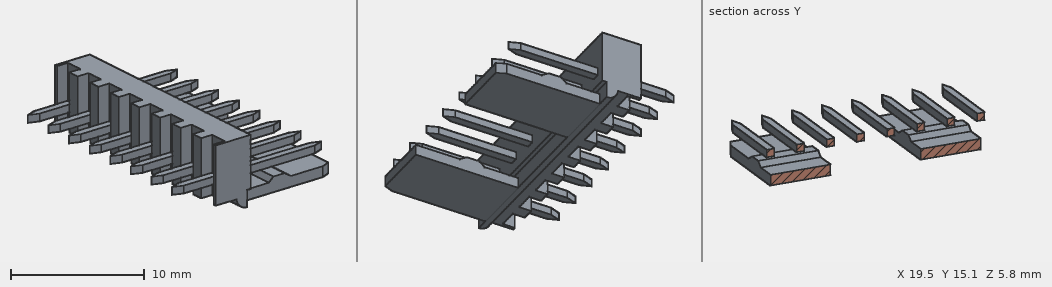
import cadquery as cq
import math

pin_count = 8
pitch = 2.5

housing_length = 19.5
housing_depth = 3.32
housing_top = 5.8
housing_bottom = 0.9
notch_width = 1.5
notch_depth = 1.03

foot_radius = 1.0
step_depth = 0.35
step_height = 1.38

pin_size = 0.65
pin_center_height = 2.63
pin_back_end = -3.37
pin_front_end = 10.82
pin_tip_length = 0.88

latch_end = 11.72
latch_width = 2 * pitch
latch_thickness = housing_bottom
latch_chamfer_width = 0.31
latch_chamfer_length = 0.76
hump_top = 1.29
hump_setback = 3.78
hump_lead_in_length = 0.62
hump_flat_length = 1.05
hump_catch_length = 0.43

hump_lead_in_start = latch_end - hump_setback
hump_lead_in_end = hump_lead_in_start - hump_lead_in_length
hump_catch_start = hump_lead_in_end - hump_flat_length
hump_catch_end = hump_catch_start - hump_catch_length

foot_front = housing_depth - step_depth
outer_pin_x = pitch * (pin_count - 1) / 2
pin_positions = [i * pitch - outer_pin_x for i in range(pin_count)]


def extrude_along_x(profile, length):
    """Extrude a closed YZ profile symmetrically about X = 0."""
    return profile.extrude(length / 2, both=True)


def make_housing():
    """Full-length body with a stepped front, a rounded foot and one notch per pin."""
    arc_mid_offset = foot_radius * math.sqrt(0.5)
    arc_center_z = foot_radius
    arc_end_y = foot_front - math.sqrt(foot_radius**2 - (arc_center_z - housing_bottom) ** 2)
    profile = (
        cq.Workplane("YZ")
        .moveTo(0, housing_bottom)
        .lineTo(arc_end_y, housing_bottom)
        .threePointArc((foot_front - arc_mid_offset, arc_center_z - arc_mid_offset), (foot_front, 0))
        .lineTo(foot_front, step_height)
        .lineTo(housing_depth, step_height)
        .lineTo(housing_depth, housing_top)
        .lineTo(0, housing_top)
        .close()
    )
    housing = extrude_along_x(profile, housing_length)
    notches = (
        cq.Workplane("XY", origin=(0, notch_depth / 2, housing_bottom))
        .pushPoints([(x, 0) for x in pin_positions])
        .rect(notch_width, notch_depth)
        .extrude(housing_top - housing_bottom)
    )
    return housing.cut(notches)


def make_pin(x):
    """Square pin through the housing, sharpened to a vertical edge at both ends."""
    half = pin_size / 2
    return (
        cq.Workplane("XY", origin=(x, 0, pin_center_height - half))
        .polyline(
            [
                (0, pin_back_end),
                (half, pin_back_end + pin_tip_length),
                (half, pin_front_end - pin_tip_length),
                (0, pin_front_end),
                (-half, pin_front_end - pin_tip_length),
                (-half, pin_back_end + pin_tip_length),
            ]
        )
        .close()
        .extrude(pin_size)
    )


def make_left_latch():
    """Flat tongue with a catch hump, its outer front corner cut off."""
    outer_x = -outer_pin_x
    inner_x = outer_x + latch_width
    side_profile = (
        cq.Workplane("YZ", origin=(outer_x, 0, 0))
        .polyline(
            [
                (foot_front, 0),
                (latch_end, 0),
                (latch_end, latch_thickness),
                (hump_lead_in_start, latch_thickness),
                (hump_lead_in_end, hump_top),
                (hump_catch_start, hump_top),
                (hump_catch_end, latch_thickness),
                (foot_front, latch_thickness),
            ]
        )
        .close()
        .extrude(latch_width)
    )
    plan = (
        cq.Workplane("XY")
        .polyline(
            [
                (outer_x, foot_front),
                (inner_x, foot_front),
                (inner_x, latch_end),
                (outer_x + latch_chamfer_width, latch_end),
                (outer_x, latch_end - latch_chamfer_length),
            ]
        )
        .close()
        .extrude(hump_top)
    )
    return side_profile.intersect(plan)


left_latch = make_left_latch()
result = make_housing().union(left_latch).union(left_latch.mirror("YZ"))
for pin_x in pin_positions:
    result = result.union(make_pin(pin_x))